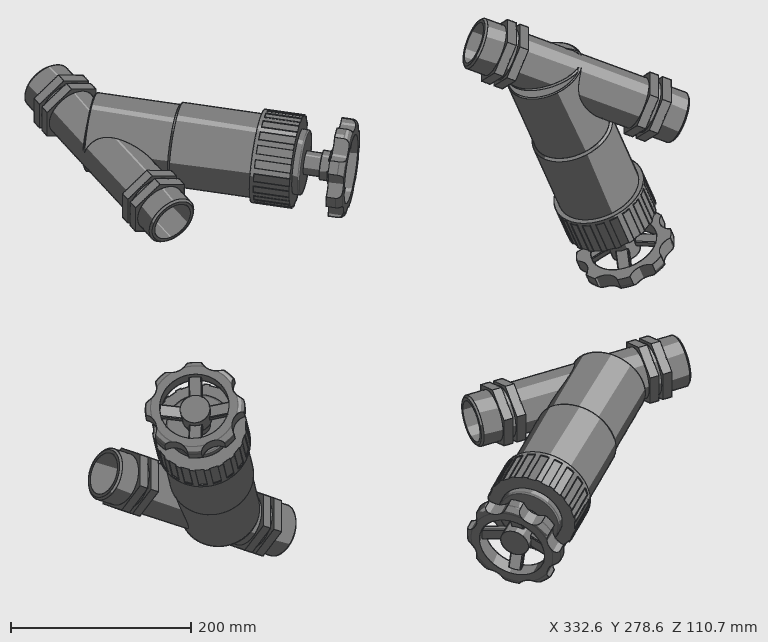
import cadquery as cq
import math

pipe_length = 253.5
pipe_diameter = 59.5
pipe_chamfer = 2.3
bore_diameter = 47.5
hex_across_flats = 65.0
outer_hex_start = 25.3
outer_hex_end = 36.2
inner_hex_start = 41.0
inner_hex_end = 51.5
bore_depth = inner_hex_end

branch_x = 86.5
branch_base = 2.3
branch_diameter = 88.5
branch_chamfer = 1.3
root_chamfer = 1.5
body_base = 97.5
body_lead_in = 2.5
body_diameter = 94.0
nut_base = 191.8
nut_top = 236.7
nut_diameter = 105.0
groove_count = 20
groove_base = 196.0
groove_width = 9.5
groove_depth = 1.3
cap_top = 245.0
cap_diameter = 73.0
cap_fillet = 1.5
stem_diameter = 26.5

hub_base = 263.5
hub_top = 288.5
hub_diameter = 33.2
rim_base = 279.2
rim_top = 296.5
rim_diameter = 110.7
rim_fillet = 6.5
rim_hole_diameter = 77.5
lobe_count = 8
lobe_tip_width = 15.0
valley_radius = 47.0
spoke_count = 4
spoke_width = 14.5
spoke_height = 7.5
spoke_chamfer = 1.0
spoke_inner_base = 266.0
spoke_outer_base = 282.5
spoke_reach = 41.5


def cylinder(diameter, bottom, top):
    """Upright cylinder on the Z axis between two heights."""
    return cq.Workplane("XY").workplane(offset=bottom).circle(diameter / 2).extrude(top - bottom)


def copies_around_axis(shape, count):
    """Union of equally spaced copies of a shape around the Z axis."""
    pattern = shape
    for i in range(1, count):
        pattern = pattern.union(shape.rotate((0, 0, 0), (0, 0, 1), i * 360 / count))
    return pattern


def hex_collar(start, end):
    """Hexagonal collar around the pipe with corners at +Z and -Z."""
    across_corners = hex_across_flats / math.cos(math.pi / 6)
    collar = cq.Workplane("YZ").workplane(offset=start).polygon(6, across_corners).extrude(end - start)
    return collar.rotate((0, 0, 0), (1, 0, 0), 90)


def make_pipe():
    """Pipe with chamfered ends and two hexagonal collars near each end."""
    pipe = cq.Workplane("YZ").circle(pipe_diameter / 2).extrude(pipe_length)
    pipe = pipe.faces("<X or >X").chamfer(pipe_chamfer)
    for start, end in ((outer_hex_start, outer_hex_end), (inner_hex_start, inner_hex_end)):
        pipe = pipe.union(hex_collar(start, end))
        pipe = pipe.union(hex_collar(pipe_length - end, pipe_length - start))
    return pipe


def make_bores():
    """Blind bores entering both pipe ends."""
    left = cq.Workplane("YZ").circle(bore_diameter / 2).extrude(bore_depth)
    return left.union(left.translate((pipe_length - bore_depth, 0, 0)))


def make_nut():
    """Union nut with grip grooves that are open at its top."""
    groove = cq.Workplane("XY").box(
        2 * groove_depth, groove_width, nut_top - groove_base, centered=(True, True, False)
    )
    groove = groove.translate((nut_diameter / 2, 0, groove_base))
    return cylinder(nut_diameter, nut_base, nut_top).cut(copies_around_axis(groove, groove_count))


def make_branch():
    """Stepped branch body, union nut, cap and stem, standing on the Z axis."""
    branch = cylinder(branch_diameter, branch_base, nut_base).faces("<Z").chamfer(branch_chamfer)
    branch = branch.union(cylinder(body_diameter, body_base, nut_base).faces("<Z").chamfer(body_lead_in))
    branch = branch.union(make_nut())
    branch = branch.union(cylinder(cap_diameter, nut_top, cap_top).faces(">Z").edges().fillet(cap_fillet))
    return branch.union(cylinder(stem_diameter, cap_top, hub_base))


def make_rim():
    """Lobed ring: round blank with a rounded top edge, scalloped between the lobes."""
    rim_radius = rim_diameter / 2
    rim = cylinder(rim_diameter, rim_base, rim_top).faces(">Z").edges().fillet(rim_fillet)

    half_angle = math.pi / lobe_count - math.asin(lobe_tip_width / rim_diameter)
    half_chord = rim_radius * math.sin(half_angle)
    sagitta = rim_radius * math.cos(half_angle) - valley_radius
    scallop_radius = (half_chord**2 + sagitta**2) / (2 * sagitta)
    scallop = cylinder(2 * scallop_radius, rim_base, rim_top)
    scallop = scallop.translate((valley_radius + scallop_radius, 0, 0))
    scallop = scallop.rotate((0, 0, 0), (0, 0, 1), 180 / lobe_count)
    rim = rim.cut(copies_around_axis(scallop, lobe_count))
    return rim.cut(cylinder(rim_hole_diameter, rim_base, rim_top))


def make_spoke():
    """Sloping bar from the hub to the rim with chamfered long edges."""
    profile = [
        (0, spoke_inner_base),
        (spoke_reach, spoke_outer_base),
        (spoke_reach, spoke_outer_base + spoke_height),
        (0, spoke_inner_base + spoke_height),
    ]
    spoke = cq.Workplane("XZ").polyline(profile).close().extrude(spoke_width / 2, both=True)
    return spoke.edges("(not |Y) and (not |Z)").chamfer(spoke_chamfer)


def make_handwheel():
    """Hub, sloping spokes and lobed rim."""
    wheel = cylinder(hub_diameter, hub_base, hub_top)
    wheel = wheel.union(copies_around_axis(make_spoke(), spoke_count))
    return wheel.union(make_rim())


def tilt_onto_pipe(upright):
    """Move a shape from the Z axis to the branch axis, at 45 degrees between +X and +Y."""
    branch_plane = cq.Plane(origin=(branch_x, 0, 0), xDir=(1, -1, 0), normal=(1, 1, 0))
    return cq.Workplane("XY").newObject([upright.val().moved(branch_plane.location)])


def root_edges(solid):
    """Elliptical edges where the flat base of the branch meets the pipe."""
    near_base = cq.selectors.BoxSelector(
        (branch_x - pipe_diameter / 2, -pipe_diameter / 2, -pipe_diameter / 2),
        (branch_x + pipe_diameter / 2, pipe_diameter / 2, pipe_diameter / 2),
    )
    return solid.edges("%ELLIPSE").edges(near_base)


body = make_pipe().union(tilt_onto_pipe(make_branch().union(make_handwheel())))
body = root_edges(body).chamfer(root_chamfer)
result = body.cut(make_bores()).solids()